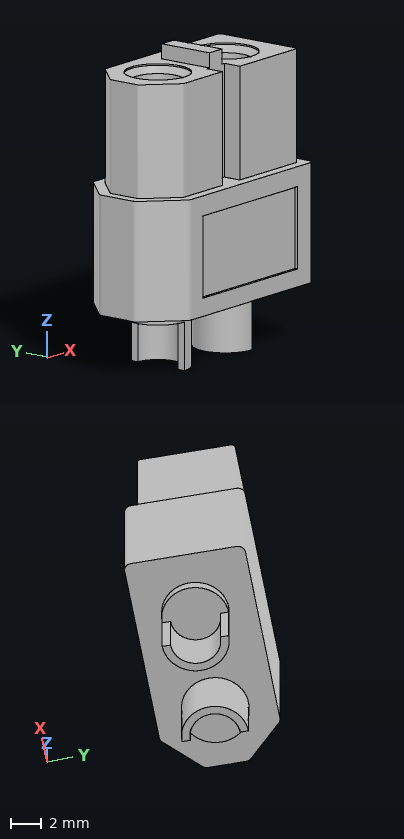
import cadquery as cq
import math

base_length = 15.7
base_width = 8.0
base_corner_cut = 2.53
base_corner_radius = 0.5
overall_height = 20.75
base_bottom = 4.0
base_height = 8.1
base_top = base_bottom + base_height

plug_inset = 0.75
plug_length = base_length - 2 * plug_inset
plug_width = base_width - 2 * plug_inset
plug_corner_cut = base_corner_cut - plug_inset * (2 - math.sqrt(2))
plug_corner_radius = 0.27

rib_width = 1.3
rib_length = 3.98
rib_height = 1.02
groove_width = 1.85
plug_top = overall_height - rib_height
plug_height = plug_top - base_top

contact_spacing = 7.14
socket_diameter = 3.5
socket_mouth_diameter = 4.4
socket_mouth_step = 0.1
socket_depth = plug_height
drill_point_angle = 118.0
pin_diameter = 4.4
cup_bore_diameter = 3.3
collar_height = 0.73

label_length = 10.0
label_height = 5.52
label_left = 3.95
label_bottom = 1.22
label_depth = 0.2


def housing(length, width, corner_cut, radius, bottom, height):
    """Upright block with its two -X corners cut at 45 degrees and all upright edges rounded."""
    x = length / 2
    y = width / 2
    outline = [
        (x, -y),
        (x, y),
        (-x + corner_cut, y),
        (-x, y - corner_cut),
        (-x, -y + corner_cut),
        (-x + corner_cut, -y),
    ]
    block = cq.Workplane("XY").workplane(offset=bottom).polyline(outline).close().extrude(height)
    return block.edges("|Z").fillet(radius)


def cylinder(x, diameter, bottom, height):
    """Upright cylinder on the contact line."""
    return cq.Workplane("XY").workplane(offset=bottom).center(x, 0).circle(diameter / 2).extrude(height)


def socket(x):
    """Cutter for a socket with a short straight step, a 45 degree mouth and a conical end."""
    mouth_radius = socket_mouth_diameter / 2
    bore_radius = socket_diameter / 2
    step_bottom = plug_top - socket_mouth_step
    mouth_bottom = step_bottom - (mouth_radius - bore_radius)
    bore_bottom = plug_top - socket_depth
    point_depth = bore_radius / math.tan(math.radians(drill_point_angle / 2))
    profile = [
        (0, plug_top),
        (mouth_radius, plug_top),
        (mouth_radius, step_bottom),
        (bore_radius, mouth_bottom),
        (bore_radius, bore_bottom),
        (0, bore_bottom - point_depth),
    ]
    cutter = cq.Workplane("XZ").polyline(profile).close().revolve(360, (0, 0, 0), (0, 1, 0))
    return cutter.translate((x, 0, 0))


def solder_cup(side):
    """Pin whose outer half is cut away below a collar, leaving a half-round cup."""
    x = side * contact_spacing / 2
    cup_height = base_bottom - collar_height
    pin = cylinder(x, pin_diameter, 0, base_bottom)
    bore = cylinder(x, cup_bore_diameter, 0, cup_height)
    outer_half = (
        cq.Workplane("XY")
        .box(pin_diameter, pin_diameter, cup_height, centered=(True, True, False))
        .translate((x + side * pin_diameter / 2, 0, 0))
    )
    return pin.cut(bore).cut(outer_half)


def groove():
    """Cutter for the front groove, running from the end of the rib out through the plug wall."""
    depth = (plug_width - rib_length) / 2
    return (
        cq.Workplane("XY")
        .box(groove_width, depth, plug_height, centered=(True, False, False))
        .translate((0, -plug_width / 2, base_top))
    )


def label_recess():
    """Cutter for the rectangular label recess."""
    return (
        cq.Workplane("XY")
        .box(label_length, label_depth, label_height, centered=False)
        .translate((label_left - base_length / 2, -base_width / 2, base_bottom + label_bottom))
    )


base = housing(base_length, base_width, base_corner_cut, base_corner_radius, base_bottom, base_height)
plug = housing(plug_length, plug_width, plug_corner_cut, plug_corner_radius, base_top, plug_height)
rib = (
    cq.Workplane("XY")
    .box(rib_width, rib_length, rib_height, centered=(True, True, False))
    .translate((0, 0, plug_top))
)

result = base.cut(label_recess()).union(plug.cut(groove())).union(rib)
for side in (-1, 1):
    result = result.cut(socket(side * contact_spacing / 2)).union(solder_cup(side))